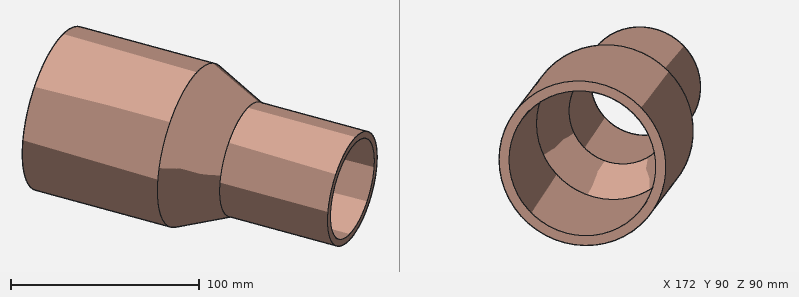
import cadquery as cq

total_length = 172.0
wide_length = 79.0
narrow_length = 63.0
wide_outer_diameter = 90.0
wide_bore_diameter = 79.1
narrow_outer_diameter = 63.0
narrow_bore_diameter = 55.4

cone_end = total_length - narrow_length


def stepped_round(wide_diameter, narrow_diameter):
    """Solid of revolution about X: wide cylinder, cone, narrow cylinder."""
    wide_radius = wide_diameter / 2
    narrow_radius = narrow_diameter / 2
    half_profile = (
        cq.Workplane("XY")
        .moveTo(0, 0)
        .lineTo(0, wide_radius)
        .lineTo(wide_length, wide_radius)
        .lineTo(cone_end, narrow_radius)
        .lineTo(total_length, narrow_radius)
        .lineTo(total_length, 0)
        .close()
    )
    return half_profile.revolve(360, (0, 0, 0), (1, 0, 0))


outside = stepped_round(wide_outer_diameter, narrow_outer_diameter)
bore = stepped_round(wide_bore_diameter, narrow_bore_diameter)
result = outside.cut(bore)